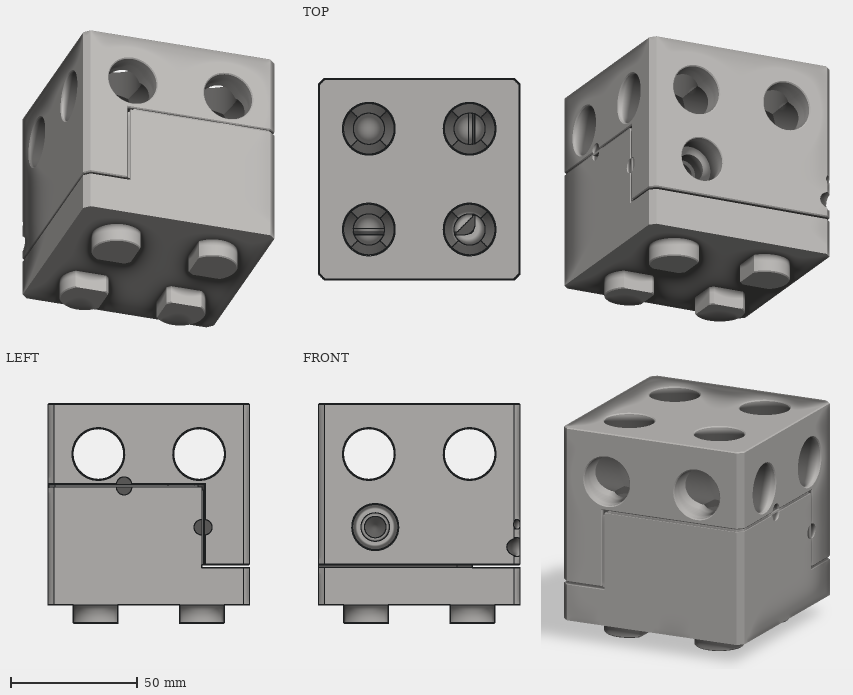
import cadquery as cq
import math

block_size = 80.0
block_height = 79.8
half_block = block_size / 2
corner_chamfer = 2.35
edge_chamfer = 0.4

bore_offset = 20.0
bore_radius = 10.0
bore_rim_chamfer = 0.4
bore_axis_z = block_height - bore_offset
screw_hole_radius = 6.2

plate_thickness = 14.8
step_top_z = 46.65
step_reach = 21.0
step_corner_chamfer = 6.0

pad_thickness = 0.8
pad_outer_inset = 0.4
top_pad_inset = 1.4
top_pad_corner_chamfer = 12.0
side_pad_top_inset = 1.05
side_pad_end_inset = 0.5

clearance = 0.3
base_gap = 1.05
housing_bottom_z = plate_thickness + base_gap
ceiling_z = step_top_z + pad_thickness + clearance
wall_reach = step_reach + pad_thickness + clearance
wall_corner_radius = 4.0

pocket_radius = 3.05
pocket_depth = 10.0
top_pocket_y = 9.8
side_pocket_z = 30.8

wall_screw_x = -17.4
wall_screw_z = 30.9
counterbore_radius = 9.0
counterbore_rim_chamfer = 0.35
counterbore_depth = 11.0
wall_screw_clearance_radius = 5.7
wall_screw_tap_radius = 4.3
wall_screw_tap_depth = 20.05
drill_point_angle = 118

edge_hole_radius = 3.75
edge_hole_z = 22.9
mark_hole_radius = 1.9
mark_hole_depth = 5.2
mark_hole_z = 31.9

pin_length = 7.4
pin_flat_offset = 12.2

bore_signs = [(sx, sy) for sx in (-1, 1) for sy in (-1, 1)]
x_axis = cq.Vector(1, 0, 0)
y_axis = cq.Vector(0, 1, 0)
z_axis = cq.Vector(0, 0, 1)


def box(x_range, y_range, z_range):
    """Box between two limits on each axis."""
    size = [high - low for low, high in (x_range, y_range, z_range)]
    corner = (x_range[0], y_range[0], z_range[0])
    return cq.Workplane("XY").box(*size, centered=False).translate(corner)


def cylinder(radius, length, start, direction):
    return cq.Workplane(cq.Solid.makeCylinder(radius, length, cq.Vector(*start), direction))


def cone(start_radius, end_radius, length, start, direction):
    return cq.Workplane(
        cq.Solid.makeCone(start_radius, end_radius, length, cq.Vector(*start), direction)
    )


def drill(radius, depth, start, direction):
    """Blind hole with a drill point past its cylindrical depth."""
    point_length = radius / math.tan(math.radians(drill_point_angle / 2))
    tip_base = cq.Vector(*start) + direction.normalized() * depth
    tip = cone(radius, 0, point_length, tip_base.toTuple(), direction)
    return cylinder(radius, depth, start, direction).union(tip)


def outer_block(z_range, inset=0):
    """Block with chamfered vertical edges, set in from the full width on all four sides."""
    span = (inset - half_block, half_block - inset)
    return box(span, span, z_range).edges("|Z").chamfer(corner_chamfer)


def step_outline(reach, z_range):
    """Block over the -X, +Y quarter, its inner corner at (reach, -reach)."""
    return box((-block_size, reach), (-reach, block_size), z_range)


def seam_pockets(seam_top_z, seam_reach):
    """Round pockets in the -X face, centred on one body's seam faces."""
    centres = [(top_pocket_y, seam_top_z), (-seam_reach, side_pocket_z)]
    pockets = cq.Workplane("XY")
    for y, z in centres:
        pockets = pockets.add(cylinder(pocket_radius, pocket_depth, (-half_block, y, z), x_axis))
    return pockets.combine()


def rim(radius, chamfer, start, direction):
    """Countersink that breaks the rim of a round hole."""
    return cone(radius + chamfer, radius, chamfer, start, direction)


def bore_rim(start, direction):
    return rim(bore_radius, bore_rim_chamfer, start, direction)


def horizontal_bores():
    """Two bores along X and two along Y, each open and countersunk at both ends."""
    bores = cq.Workplane("XY")
    for offset in (-bore_offset, bore_offset):
        for end in (-1, 1):
            x_start = (end * half_block, offset, bore_axis_z)
            y_start = (offset, end * half_block, bore_axis_z)
            bores = bores.union(bore_rim(x_start, x_axis * -end)).union(bore_rim(y_start, y_axis * -end))
        bores = bores.union(
            cylinder(bore_radius, block_size, (-half_block, offset, bore_axis_z), x_axis)
        )
        bores = bores.union(
            cylinder(bore_radius, block_size, (offset, -half_block, bore_axis_z), y_axis)
        )
    return bores


def vertical_bores():
    """Bores from the top to the crossing, narrowed below it down to the ceiling."""
    bores = cq.Workplane("XY")
    for sx, sy in bore_signs:
        x, y = sx * bore_offset, sy * bore_offset
        wide = cylinder(bore_radius, block_height - bore_axis_z, (x, y, bore_axis_z), z_axis)
        narrow = cylinder(screw_hole_radius, block_height - ceiling_z, (x, y, ceiling_z), z_axis)
        bores = bores.union(wide).union(narrow).union(bore_rim((x, y, block_height), -z_axis))
    return bores


def edge_holes():
    """Through hole and blind mark hole, square to the edge between the walls."""
    inward = cq.Vector(-1, 1, 0)
    through_length = math.sqrt(2) * (half_block - step_reach)
    through_start = (half_block, -half_block, edge_hole_z)
    through = cylinder(edge_hole_radius, through_length, through_start, inward)
    chamfer_depth = corner_chamfer / math.sqrt(2)
    mark_start = (half_block, -half_block, mark_hole_z)
    mark = drill(mark_hole_radius, chamfer_depth + mark_hole_depth, mark_start, inward)
    return through.union(mark)


def break_housing_edges(body):
    """Chamfer the top and bottom outlines and the rim of the cavity on the -X and +Y sides."""

    def on_cavity_rim(edge):
        centre = edge.Center()
        at_block_side = centre.x < corner_chamfer - half_block or centre.y > half_block - corner_chamfer
        beyond_wall = centre.x > wall_reach + edge_chamfer or centre.y < -wall_reach - edge_chamfer
        at_ceiling = abs(centre.z - ceiling_z) < edge_chamfer
        at_wall = abs(centre.x - wall_reach) < edge_chamfer or abs(centre.y + wall_reach) < edge_chamfer
        below_top = housing_bottom_z < centre.z < ceiling_z + edge_chamfer
        return at_block_side and below_top and (at_ceiling or at_wall) and not beyond_wall

    outline_edges = body.faces("<Z or >Z").edges()
    rim_edges = body.edges().filter(on_cavity_rim)
    return outline_edges.add(rim_edges).chamfer(edge_chamfer)


def wall_screw_hole():
    """Counterbored clearance hole through the front wall."""
    front = (wall_screw_x, -half_block, wall_screw_z)
    counterbore = cylinder(counterbore_radius, counterbore_depth, front, y_axis)
    counterbore = counterbore.union(rim(counterbore_radius, counterbore_rim_chamfer, front, y_axis))
    wall_thickness = half_block - wall_reach
    return counterbore.union(cylinder(wall_screw_clearance_radius, wall_thickness, front, y_axis))


def make_housing():
    body = outer_block((housing_bottom_z, block_height))
    cavity = step_outline(wall_reach, (0, ceiling_z))
    cavity = cavity.edges("|Z and >X and <Y").fillet(wall_corner_radius)
    body = body.cut(cavity)
    body = break_housing_edges(body)
    body = body.cut(horizontal_bores()).cut(vertical_bores())
    body = body.cut(seam_pockets(ceiling_z, wall_reach))
    return body.cut(wall_screw_hole()).cut(edge_holes())


def make_pads():
    """Raised bearing pads on the top and on the -Y and +X sides of the step."""
    top_pad = step_outline(step_reach - top_pad_inset, (step_top_z, step_top_z + pad_thickness))
    top_pad = top_pad.edges("|Z and >X and <Y").chamfer(top_pad_corner_chamfer)

    pad_end = step_reach - step_corner_chamfer - side_pad_end_inset
    pad_heights = (housing_bottom_z, step_top_z - side_pad_top_inset)
    pad_faces = (step_reach, step_reach + pad_thickness)
    right_pad = box(pad_faces, (-pad_end, block_size), pad_heights)
    front_pad = box((-block_size, pad_end), (-pad_faces[1], -pad_faces[0]), pad_heights)

    pads = top_pad.union(right_pad).union(front_pad)
    return pads.intersect(outer_block((0, ceiling_z), pad_outer_inset))


def make_base():
    step = step_outline(step_reach, (0, step_top_z))
    step = step.edges("|Z and >X and <Y").chamfer(step_corner_chamfer)

    plate = outer_block((0, plate_thickness))
    step = step.intersect(outer_block((0, step_top_z)))
    step = step.cut(seam_pockets(step_top_z, step_reach))

    body = plate.union(step).union(make_pads())

    tap_start = (wall_screw_x, -step_reach - pad_thickness, wall_screw_z)
    return body.cut(drill(wall_screw_tap_radius, wall_screw_tap_depth, tap_start, y_axis))


def make_pin(sx, sy):
    """Round pin with flats on the two sides that face the block's centre."""
    x, y = sx * bore_offset, sy * bore_offset
    pin = cylinder(bore_radius, pin_length, (x, y, -pin_length), z_axis)
    pin = pin.faces("<Z").edges().chamfer(edge_chamfer)
    x_range = sorted((sx * pin_flat_offset, sx * half_block))
    y_range = sorted((sy * pin_flat_offset, sy * half_block))
    return pin.intersect(box(x_range, y_range, (-pin_length, 0)))


housing = make_housing()
base = make_base()
pins = [make_pin(sx, sy) for sx, sy in bore_signs]

result = cq.Compound.makeCompound([housing.val(), base.val(), *[pin.val() for pin in pins]])